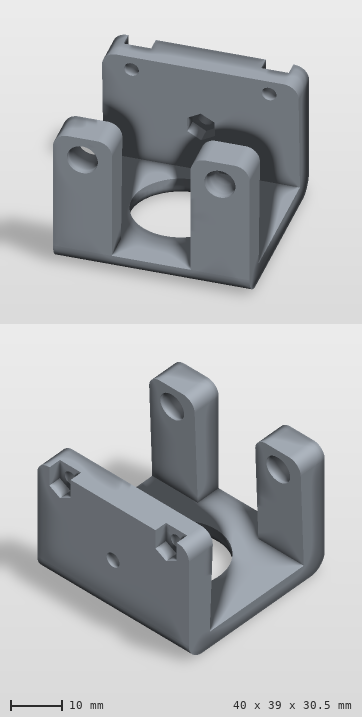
import cadquery as cq
import math

width = 40.0
depth = 39.0
post_height = 30.5
back_height = 28.5

base_thickness = 4.0
upright_foot = 6.0
upright_tip = 7.0
bottom_radius = 4.0
corner_radius = 3.0
post_width = 12.0

base_hole_diameter = 20.0
base_hole_rounding = 2.0
post_hole_diameter = 6.3
screw_hole_diameter = 3.0
centre_hole_diameter = 3.4
screw_spacing = 28.0
screw_z = 25.5
centre_hole_z = 14.5

nut_flats = 5.6
nut_corners = nut_flats / math.cos(math.pi / 6)
nut_slot_depth = 3.0
centre_nut_floor = 3.0

half_width = width / 2
post_inner_x = half_width - post_width
back_tip_y = depth - upright_tip
back_foot_y = depth - upright_foot

selection_margin = 1.0


def y_sketch(y):
    """Sketch plane at the given Y; extrusions of negative length go toward +Y."""
    return cq.Workplane("XZ", origin=(0, y, 0))


def bracket_body():
    """U-shaped side profile with tapered uprights, extruded across the width."""
    profile = [
        (0, 0),
        (depth, 0),
        (depth, back_height),
        (back_tip_y, back_height),
        (back_foot_y, base_thickness),
        (upright_foot, base_thickness),
        (upright_tip, post_height),
        (0, post_height),
    ]
    body = cq.Workplane("YZ").polyline(profile).close().extrude(half_width, both=True)
    return body.edges("|X and <Z").fillet(bottom_radius)


def post_gap():
    """Opening that splits the front upright into two posts."""
    gap_height = post_height - base_thickness
    return (
        cq.Workplane("XY", origin=(0, 0, base_thickness))
        .rect(2 * post_inner_x, 2 * upright_tip)
        .extrude(gap_height)
    )


def y_hole(x, z, diameter, start_y, end_y):
    """Cylinder along Y from start_y to end_y."""
    return y_sketch(start_y).center(x, z).circle(diameter / 2).extrude(start_y - end_y)


def y_hexagon(x, z, start_y, end_y):
    """Nut-sized hexagonal prism along Y, with one corner pointing up."""
    sketch = y_sketch(start_y).transformed(offset=(x, z, 0), rotate=(0, 0, 90))
    return sketch.polygon(6, nut_corners).extrude(start_y - end_y)


def nut_slot(x):
    """Nut seat in the rear face, open upward through the top of the back wall."""
    start_y = depth - nut_slot_depth
    channel_height = back_height - screw_z
    channel = (
        y_sketch(start_y)
        .center(x, screw_z + channel_height / 2)
        .rect(nut_flats, channel_height)
        .extrude(-nut_slot_depth)
    )
    return y_hexagon(x, screw_z, start_y, depth).union(channel)


def add_uprights_rounding(body):
    """Round the top corners of the front posts and of the lower back wall."""
    body = body.edges("|Y and >Z").fillet(corner_radius)
    back_wall_top = cq.selectors.BoxSelector(
        (-width, back_tip_y - selection_margin, back_height - selection_margin),
        (width, depth + selection_margin, back_height + selection_margin),
    )
    return body.edges(back_wall_top).edges("|Y").fillet(corner_radius)


def cut_base_hole(body):
    """Bore the base and round the lower rim of the bore."""
    bore = (
        cq.Workplane("XY", origin=(0, depth / 2, 0))
        .circle(base_hole_diameter / 2)
        .extrude(base_thickness)
    )
    return body.cut(bore).edges("%CIRCLE and <Z").fillet(base_hole_rounding)


def cut_screw_features(body):
    """Access hole, screw hole and nut slot on each screw axis."""
    for x in (-screw_spacing / 2, screw_spacing / 2):
        body = body.cut(y_hole(x, screw_z, post_hole_diameter, 0, upright_tip))
        body = body.cut(y_hole(x, screw_z, screw_hole_diameter, back_tip_y, depth))
        body = body.cut(nut_slot(x))
    return body


def cut_centre_nut_seat(body):
    """Central screw hole with a nut seat opening on the inner side of the back wall."""
    body = body.cut(y_hole(0, centre_hole_z, centre_hole_diameter, back_tip_y, depth))
    return body.cut(y_hexagon(0, centre_hole_z, back_tip_y, depth - centre_nut_floor))


bracket = bracket_body().cut(post_gap())
bracket = add_uprights_rounding(bracket)
bracket = cut_base_hole(bracket)
bracket = cut_screw_features(bracket)
bracket = cut_centre_nut_seat(bracket)

result = bracket